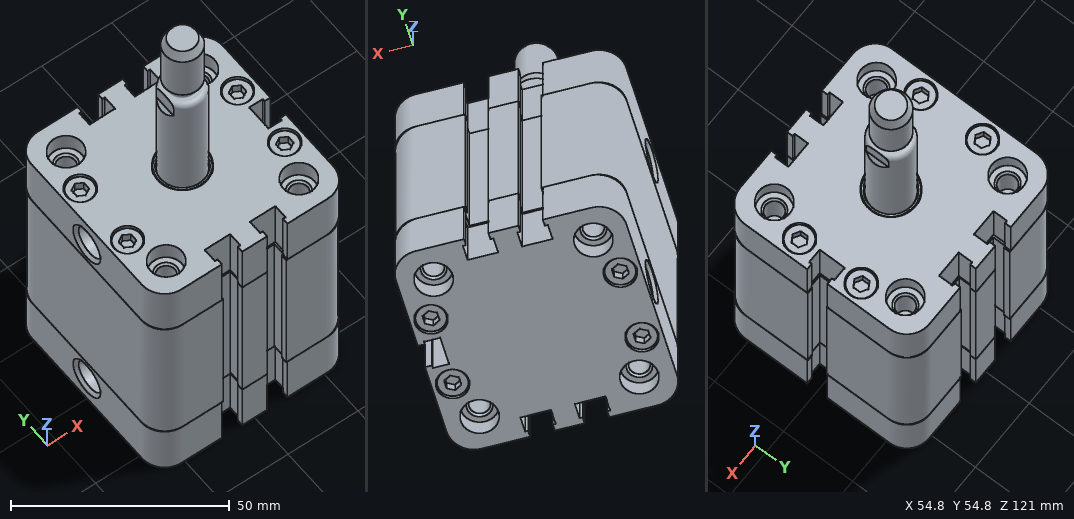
import cadquery as cq
import math

BODY_WIDTH = 54.8
TOTAL_HEIGHT = 121.0
COVER_HEIGHT = 14.4
BARREL_HEIGHT = 41.0
HALF_WIDTH = BODY_WIDTH / 2
COVER_CORNER_RADIUS = 6.5
BARREL_CORNER_RADIUS = 7.0

SLOT_RAIL_WIDTH = 7.1
SLOT_LIP_DEPTH = 1.7
BARREL_SLOT_MOUTH = 5.5
BARREL_SLOT_WIDTH = 6.5
BARREL_SLOT_DEPTH = 5.2
COVER_SLOT_MOUTH = 5.8
COVER_SLOT_WIDTH = 7.3
COVER_SLOT_DEPTH = 5.6

MOUNT_OFFSET = 19.0
MOUNT_BORE_DIAMETER = 9.0
MOUNT_BORE_DEPTH = 5.0
MOUNT_THREAD_DIAMETER = 5.0
MOUNT_CHAMFER_DIAMETER = 6.0
MOUNT_CHAMFER = (MOUNT_CHAMFER_DIAMETER - MOUNT_THREAD_DIAMETER) / 2

SCREW_X = 22.5
SCREW_Y = 9.0
SCREW_RING_DIAMETER = 7.7
SCREW_HEAD_DIAMETER = 7.1
SCREW_RING_DEPTH = 0.6
SCREW_HEAD_DROP = 0.5
HEX_ACROSS_FLATS = 3.5
HEX_DEPTH = 2.4

PORT_DIAMETER = 8.6
PORT_MOUTH_DIAMETER = 10.4
PORT_CHAMFER = (PORT_MOUTH_DIAMETER - PORT_DIAMETER) / 2
PORT_END_DISTANCE = 8.0
CORE_DIAMETER = 40.0

ROD_DIAMETER = 12.0
ROD_RADIUS = ROD_DIAMETER / 2
THREAD_RADIUS = 10.0 / 2
TIP_RADIUS = 7.5 / 2
NECK_RADIUS = 7.5 / 2
NECK_FILLET = 0.4
TIP_CHAMFER_LENGTH = 2.5
THREAD_LENGTH = 15.7
THREAD_RUNOUT = 0.7
SHOULDER_DISTANCE = 18.8
SHOULDER_FILLET = 1.5
FLAT_END_DISTANCE = 23.2
ACROSS_FLATS = 10.0
SEAL_GROOVE_DIAMETER = 14.0
SEAL_LIP_DIAMETER = 13.7
SEAL_GROOVE_DEPTH = 1.0
CLEARANCE_DIAMETER = 12.6
CLEARANCE_DEPTH = 1.2


def slot_cutter(mouth, width, depth, height):
    """T-slot open toward +X, centred on the +X face."""
    floor = HALF_WIDTH - depth
    head = cq.Workplane("XY").box(depth - SLOT_LIP_DEPTH, width, height, centered=(False, True, False))
    neck = cq.Workplane("XY").box(depth, mouth, height, centered=(False, True, False))
    return head.union(neck).translate((floor, 0, 0))


def profile_block(corner_radius, mouth, width, depth, height):
    """Rounded square block with one T-slot on +X and two on each of +Y and -Y."""
    block = cq.Workplane("XY").rect(BODY_WIDTH, BODY_WIDTH).extrude(height)
    block = block.edges("|Z").fillet(corner_radius)
    slot = slot_cutter(mouth, width, depth, height)
    slot_offset = (SLOT_RAIL_WIDTH + mouth) / 2
    block = block.cut(slot)
    for angle in (90, -90):
        for offset in (-slot_offset, slot_offset):
            side_slot = slot.rotate((0, 0, 0), (0, 0, 1), angle).translate((offset, 0, 0))
            block = block.cut(side_slot)
    return block


def cut_mounting_holes(cover):
    """Counterbored holes in the four corners, with a chamfered thread hole to the cover's inner face."""
    floor = COVER_HEIGHT - MOUNT_BORE_DEPTH
    bore_floor = cq.Workplane("XY").workplane(offset=floor)
    bore = bore_floor.circle(MOUNT_BORE_DIAMETER / 2).extrude(MOUNT_BORE_DEPTH)
    thread = cq.Workplane("XY").circle(MOUNT_THREAD_DIAMETER / 2).extrude(floor)
    chamfer = (
        cq.Workplane("XY")
        .workplane(offset=floor)
        .circle(MOUNT_CHAMFER_DIAMETER / 2)
        .workplane(offset=-MOUNT_CHAMFER)
        .circle(MOUNT_THREAD_DIAMETER / 2)
        .loft()
    )
    hole = bore.union(thread).union(chamfer)
    for x in (-MOUNT_OFFSET, MOUNT_OFFSET):
        for y in (-MOUNT_OFFSET, MOUNT_OFFSET):
            cover = cover.cut(hole.translate((x, y, 0)))
    return cover


def cut_screw_heads(cover):
    """Sunk heads of the four screws, each with a bevelled rim and a hexagon socket."""
    places = [(x, y) for x in (-SCREW_X, SCREW_X) for y in (-SCREW_Y, SCREW_Y)]
    head_top = COVER_HEIGHT - SCREW_HEAD_DROP
    ring_radius = SCREW_RING_DIAMETER / 2
    ring = (
        cq.Workplane("XZ")
        .moveTo(0, head_top)
        .lineTo(SCREW_HEAD_DIAMETER / 2, head_top)
        .lineTo(ring_radius, head_top - SCREW_RING_DEPTH)
        .lineTo(ring_radius, COVER_HEIGHT)
        .lineTo(0, COVER_HEIGHT)
        .close()
        .revolve(360, (0, 0, 0), (0, 1, 0))
    )
    hex_corner_radius = HEX_ACROSS_FLATS / math.sqrt(3)
    corners = [
        (hex_corner_radius * math.sin(math.radians(angle)), hex_corner_radius * math.cos(math.radians(angle)))
        for angle in range(0, 360, 60)
    ]
    socket = cq.Workplane("XY").workplane(offset=head_top).polyline(corners).close().extrude(-HEX_DEPTH)
    for x, y in places:
        cover = cover.cut(ring.translate((x, y, 0))).cut(socket.translate((x, y, 0)))
    return cover


def cut_port(cover):
    """Chamfered air port in the -X face, ending on the round core."""
    port_z = COVER_HEIGHT - PORT_END_DISTANCE
    port = (
        cq.Workplane("YZ", origin=(-HALF_WIDTH, 0, port_z))
        .circle(PORT_DIAMETER / 2)
        .extrude(HALF_WIDTH)
    )
    mouth = (
        cq.Workplane("YZ", origin=(-HALF_WIDTH, 0, port_z))
        .circle(PORT_MOUTH_DIAMETER / 2)
        .workplane(offset=PORT_CHAMFER)
        .circle(PORT_DIAMETER / 2)
        .loft()
    )
    core = cq.Workplane("XY").circle(CORE_DIAMETER / 2).extrude(COVER_HEIGHT)
    return cover.cut(port.union(mouth).cut(core))


def make_cover():
    """End cover standing on Z = 0 with its outer face up."""
    cover = profile_block(
        COVER_CORNER_RADIUS, COVER_SLOT_MOUTH, COVER_SLOT_WIDTH, COVER_SLOT_DEPTH, COVER_HEIGHT
    )
    cover = cut_mounting_holes(cover)
    cover = cut_screw_heads(cover)
    return cut_port(cover)


def make_rear_cover():
    """Lower cover, turned over so that its outer face is down."""
    return make_cover().rotate((0, 0, 0), (1, 0, 0), 180).translate((0, 0, COVER_HEIGHT))


def make_front_cover():
    """Upper cover with the rod hole and the seal lip around it."""
    outer_face = cq.Workplane("XY").workplane(offset=COVER_HEIGHT)
    groove = (
        outer_face.circle(SEAL_GROOVE_DIAMETER / 2)
        .circle(SEAL_LIP_DIAMETER / 2)
        .extrude(-SEAL_GROOVE_DEPTH)
    )
    clearance = outer_face.circle(CLEARANCE_DIAMETER / 2).extrude(-CLEARANCE_DEPTH)
    rod_hole = cq.Workplane("XY").circle(ROD_RADIUS).extrude(COVER_HEIGHT)
    cover = make_cover().cut(groove).cut(clearance).cut(rod_hole)
    return cover.translate((0, 0, COVER_HEIGHT + BARREL_HEIGHT))


def make_barrel():
    """Middle profile between the two covers."""
    barrel = profile_block(
        BARREL_CORNER_RADIUS, BARREL_SLOT_MOUTH, BARREL_SLOT_WIDTH, BARREL_SLOT_DEPTH, BARREL_HEIGHT
    )
    return barrel.translate((0, 0, COVER_HEIGHT))


def make_rod():
    """Turned rod with a threaded end, an undercut neck and two wrench flats."""
    bottom = COVER_HEIGHT + BARREL_HEIGHT
    thread_end = TOTAL_HEIGHT - THREAD_LENGTH
    shoulder = TOTAL_HEIGHT - SHOULDER_DISTANCE
    neck_fillet_middle = NECK_FILLET * (1 - math.sqrt(0.5))
    fillet_middle = SHOULDER_FILLET * (1 - math.sqrt(0.5))
    rod = (
        cq.Workplane("XZ")
        .moveTo(0, bottom)
        .lineTo(ROD_RADIUS, bottom)
        .lineTo(ROD_RADIUS, shoulder - SHOULDER_FILLET)
        .threePointArc(
            (ROD_RADIUS - fillet_middle, shoulder - fillet_middle),
            (ROD_RADIUS - SHOULDER_FILLET, shoulder),
        )
        .lineTo(NECK_RADIUS + NECK_FILLET, shoulder)
        .threePointArc(
            (NECK_RADIUS + neck_fillet_middle, shoulder + neck_fillet_middle),
            (NECK_RADIUS, shoulder + NECK_FILLET),
        )
        .lineTo(NECK_RADIUS, thread_end - THREAD_RUNOUT)
        .lineTo(THREAD_RADIUS, thread_end)
        .lineTo(THREAD_RADIUS, TOTAL_HEIGHT - TIP_CHAMFER_LENGTH)
        .lineTo(TIP_RADIUS, TOTAL_HEIGHT)
        .lineTo(0, TOTAL_HEIGHT)
        .close()
        .revolve(360, (0, 0, 0), (0, 1, 0))
    )
    flat_end = TOTAL_HEIGHT - FLAT_END_DISTANCE
    inner = ACROSS_FLATS / 2
    slope = ROD_RADIUS - inner
    flat = (
        cq.Workplane("XZ")
        .moveTo(inner, shoulder)
        .lineTo(inner, flat_end)
        .lineTo(inner + slope, flat_end - slope)
        .lineTo(inner + slope, shoulder)
        .close()
        .extrude(ROD_RADIUS, both=True)
    )
    return rod.cut(flat).cut(flat.mirror("YZ"))


rear_cover = make_rear_cover()
barrel = make_barrel()
front_cover = make_front_cover()
rod = make_rod()

result = cq.Compound.makeCompound([rear_cover.val(), barrel.val(), front_cover.val(), rod.val()])